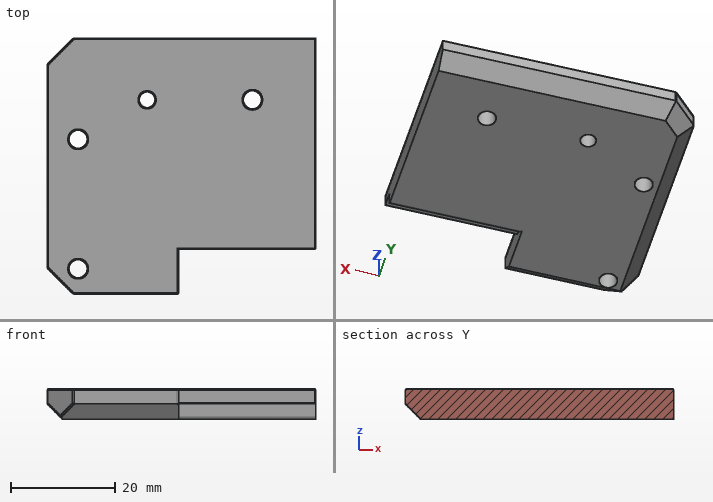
import cadquery as cq

length = 51.5
width = 49.05
thickness = 5.8

corner_cut = 5.0
bevel = 3.0
edge_break = 0.2
tab_length = 25.2
notch_depth = 8.6
step_depth = bevel
step_round = 0.5
tab_round = 0.3

large_hole = 3.5
small_hole = 3.05
rim_angle = 90.0
left_hole_x = 5.9
back_hole_y = width - 11.8
large_centres = [(left_hole_x, 4.85), (left_hole_x, width - 19.35), (39.35, back_hole_y)]
small_centres = [(19.15, back_hole_y)]

tolerance = 0.005


def make_blank():
    """Plate with the back left corner cut and the underside bevelled on three sides."""
    blank = (
        cq.Workplane("XY")
        .polyline([
            (0, 0),
            (length, 0),
            (length, width),
            (corner_cut, width),
            (0, width - corner_cut),
        ])
        .close()
        .extrude(thickness)
    )
    return blank.faces("<Z").edges("not >X").chamfer(bevel)


def cut_front_corner(body):
    """Cut the front left corner straight down through the bevels."""
    cutter = (
        cq.Workplane("XY")
        .polyline([(0, 0), (corner_cut, 0), (0, corner_cut)])
        .close()
        .extrude(thickness)
    )
    return body.cut(cutter)


def cut_notch(body):
    """Remove the front right notch and step the underside back behind it."""
    notch_length = length - tab_length
    notch = cq.Workplane("XY").box(notch_length, notch_depth, thickness, centered=False)
    step = cq.Workplane("XY").box(notch_length, notch_depth + step_depth, bevel, centered=False)
    return body.cut(notch.union(step).translate((tab_length, 0, 0)))


def edges_at(body, x=None, y=None, z=None):
    """Edges whose midpoint has the given coordinates."""
    def matches(edge):
        middle = edge.Center()
        pairs = [(middle.x, x), (middle.y, y), (middle.z, z)]
        return all(goal is None or abs(value - goal) < tolerance for value, goal in pairs)

    return body.edges().filter(matches)


def break_edges(body):
    """Round the step foot and the tab corner, then chamfer the exposed edges."""
    upper_middle = (thickness + bevel) / 2
    body = edges_at(body, y=notch_depth + step_depth, z=0).fillet(step_round)
    body = edges_at(body, x=tab_length, y=0, z=upper_middle).fillet(tab_round)

    front_cut = cq.selectors.DirectionMinMaxSelector(cq.Vector(-1, -1, 0))
    back_cut = cq.selectors.DirectionMinMaxSelector(cq.Vector(-1, 1, 0))
    corner_edges = body.faces(front_cut).edges("not >Z")
    back_edges = body.faces(back_cut).edges("|Z")
    selected = corner_edges.add(back_edges)
    selected = selected.add(body.faces(">Z").edges())
    selected = selected.add(edges_at(body, x=length, y=notch_depth, z=upper_middle))
    selected = selected.add(edges_at(body, y=notch_depth, z=bevel))
    return selected.chamfer(edge_break)


def drill(body, centres, diameter):
    """Through holes with a broken upper rim."""
    rim = diameter + 2 * edge_break
    return (
        body.faces(">Z")
        .workplane(origin=(0, 0, thickness))
        .pushPoints(centres)
        .cskHole(diameter, rim, rim_angle)
    )


plate = break_edges(cut_notch(cut_front_corner(make_blank())))
plate = drill(plate, large_centres, large_hole)
result = drill(plate, small_centres, small_hole)